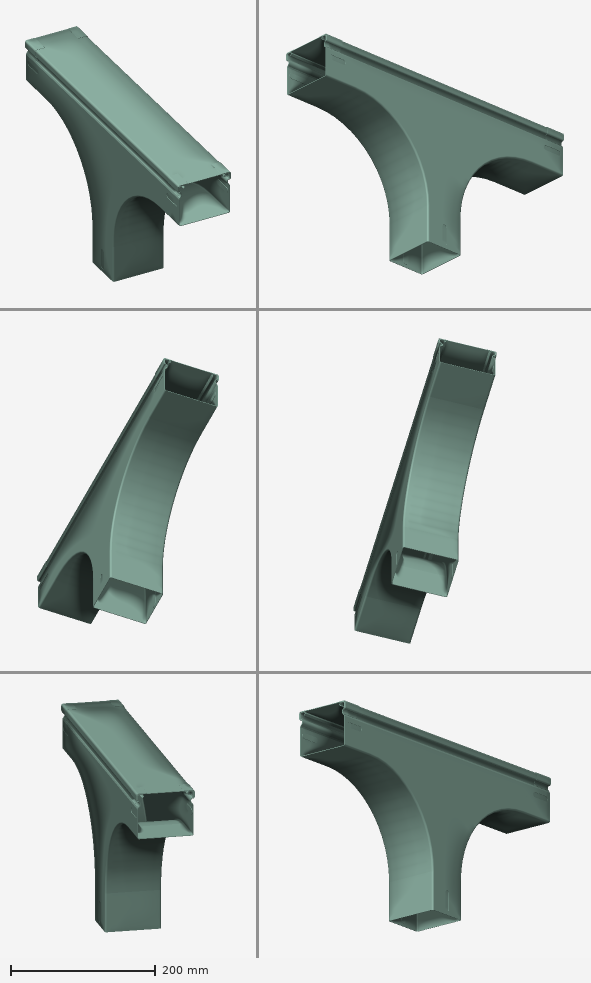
import cadquery as cq
import math


length = 446.5
height = 257.2
clip_outer_width = 83.5
cover_width = 82.0
body_width = 80.5
sheet = 0.8
clip_sheet = 0.5

clip_y = (clip_outer_width - clip_sheet) / 2
cover_y = (cover_width - sheet) / 2
body_y = (body_width - sheet) / 2
clip_z = -clip_sheet / 2
cover_z = clip_z - (clip_sheet + sheet) / 2
body_z = cover_z - sheet
bend_radius = 2.5

channel_bottom = -66.0
branch_width = 62.5
elbow_radius = 135.0
edge_radius = 2.5
rim_joint = -22.8

groove_top = -10.5
groove_bottom = -20.5
groove_edge_y = body_y - 1.0
groove_depth = 3.0
rim_bend_top = -8.5

flange_end_y = 33.0
lip_fold_y = 31.0
lip_fold_z = -4.5
lip_end_z = -6.5

slot_length = 31.5
slot_width = 7.5
slot_depth = 0.65
slot_end_gap = 20.5
slot_z = -33.5

curl_top = -10.0
curl_radius = 2.0
curl_angle = math.radians(60)
clip_length = 30.0
clip_inner_y = 26.5
clip_tail_cut = math.radians(12)

groove_half = (groove_top - groove_bottom) / 2
groove_radius = (groove_half**2 + groove_depth**2) / (2 * groove_depth)
groove_y = groove_edge_y - groove_depth + groove_radius
groove_z = (groove_top + groove_bottom) / 2
groove_angle = math.asin(groove_half / groove_radius)


def groove_point(radius, angle):
    """Point of an arc about the groove centre; angle 0 is the deepest point, positive is up."""
    return groove_y - radius * math.cos(angle), groove_z + radius * math.sin(angle)


def bend_middle(y, z):
    """Middle point of the quarter bend between a side at y and a top at z."""
    inset = bend_radius * (1 - math.sqrt(0.5))
    return y - inset, z - inset


def curl_point(radius, angle):
    """Point of the inward curl below the cover flange; angle 0 is its start on the flange."""
    return cover_y - curl_radius + radius * math.cos(angle), curl_top - radius * math.sin(angle)


def mirrored(point):
    return -point[0], point[1]


def extrude_sheet(path, thickness, x_start, x_length):
    """Thicken a middle line drawn in the YZ plane and extrude it along X."""
    return path.wire().offset2D(thickness / 2).extrude(x_length).translate((x_start, 0, 0))


def tee_block(inset):
    """Solid tee, its walls set in from the outer faces; it runs past the open ends when inset."""
    half_length = length / 2 + inset
    half_branch = branch_width / 2 - inset
    radius = elbow_radius + inset
    floor = channel_bottom + inset
    elbow_x = branch_width / 2 + elbow_radius
    elbow_z = channel_bottom - elbow_radius
    middle_x = elbow_x - radius * math.sqrt(0.5)
    middle_z = elbow_z + radius * math.sqrt(0.5)
    depth = body_width - 2 * inset
    block = (
        cq.Workplane("XZ", origin=(0, depth / 2, 0))
        .moveTo(-half_length, rim_joint + inset)
        .lineTo(half_length, rim_joint + inset)
        .lineTo(half_length, floor)
        .lineTo(elbow_x, floor)
        .threePointArc((middle_x, middle_z), (half_branch, elbow_z))
        .lineTo(half_branch, -height - inset)
        .lineTo(-half_branch, -height - inset)
        .lineTo(-half_branch, elbow_z)
        .threePointArc((-middle_x, middle_z), (-elbow_x, floor))
        .lineTo(-half_length, floor)
        .close()
        .extrude(depth)
    )
    return block.edges("%CIRCLE").fillet(edge_radius - inset)


def body_rim(side):
    """Profiled upper edge of one wall: lip, flange, bend and snap groove."""
    path = (
        cq.Workplane("YZ")
        .moveTo(flange_end_y, lip_end_z)
        .lineTo(lip_fold_y, lip_fold_z)
        .lineTo(flange_end_y, body_z)
        .lineTo(body_y - bend_radius, body_z)
        .threePointArc(bend_middle(body_y, body_z), (body_y, body_z - bend_radius))
        .lineTo(body_y, rim_bend_top)
        .lineTo(groove_edge_y, groove_top)
        .threePointArc(groove_point(groove_radius, 0), (groove_edge_y, groove_bottom))
        .lineTo(body_y, rim_joint)
        .lineTo(body_y, rim_joint - sheet)
    )
    rim = extrude_sheet(path, sheet, -length / 2, length)
    return rim if side > 0 else rim.mirror("XZ")


def slot_prisms(width_growth, y_centre, thickness):
    """Slot shapes at both channel ends and on the branch, extruded along Y."""
    size = slot_length + width_growth, slot_width + width_growth
    slot_x = length / 2 - slot_end_gap
    plane = cq.Workplane("XZ", origin=(0, y_centre + thickness / 2, 0))
    channel = plane.pushPoints([(-slot_x, slot_z), (slot_x, slot_z)]).slot2D(*size).extrude(thickness)
    branch = plane.center(0, slot_end_gap - height).slot2D(*size, angle=90).extrude(thickness)
    return channel.union(branch)


def make_tee_body():
    body = tee_block(0).cut(tee_block(sheet))
    for side in (-1, 1):
        body = body.union(body_rim(side))
        outer_y = side * (body_width - slot_depth) / 2
        inner_y = side * (body_width / 2 - (sheet + slot_depth) / 2)
        body = body.union(slot_prisms(sheet, inner_y, sheet + slot_depth))
        body = body.cut(slot_prisms(0, outer_y, slot_depth))
    return body


def make_cover():
    bend_y = cover_y - bend_radius
    bend_z = cover_z - bend_radius
    curl_end = curl_point(curl_radius, curl_angle)
    curl_middle = curl_point(curl_radius, curl_angle / 2)
    path = (
        cq.Workplane("YZ")
        .moveTo(*mirrored(curl_end))
        .threePointArc(mirrored(curl_middle), (-cover_y, curl_top))
        .lineTo(-cover_y, bend_z)
        .threePointArc(mirrored(bend_middle(cover_y, cover_z)), (-bend_y, cover_z))
        .lineTo(bend_y, cover_z)
        .threePointArc(bend_middle(cover_y, cover_z), (cover_y, bend_z))
        .lineTo(cover_y, curl_top)
        .threePointArc(curl_middle, curl_end)
    )
    return extrude_sheet(path, sheet, -length / 2, length)


def make_clip(end, side):
    """Clip hooked over one corner of the cover and into the snap groove."""
    layer_gap = (sheet + clip_sheet) / 2
    outer_curl = curl_radius + clip_y - cover_y
    arc_radius = groove_radius - layer_gap
    tail_angle = groove_angle - clip_tail_cut
    path = (
        cq.Workplane("YZ")
        .moveTo(clip_inner_y, clip_z)
        .lineTo(clip_y - bend_radius, clip_z)
        .threePointArc(bend_middle(clip_y, clip_z), (clip_y, clip_z - bend_radius))
        .lineTo(clip_y, curl_top)
        .threePointArc(curl_point(outer_curl, curl_angle / 2), curl_point(outer_curl, curl_angle))
        .lineTo(*groove_point(arc_radius, tail_angle))
        .threePointArc(groove_point(arc_radius, 0), groove_point(arc_radius, -tail_angle))
    )
    clip = extrude_sheet(path, clip_sheet, length / 2 - clip_length, clip_length)
    if end < 0:
        clip = clip.mirror("YZ")
    if side < 0:
        clip = clip.mirror("XZ")
    return clip


tee_body = make_tee_body().solids()
cover = make_cover()
clips = [make_clip(end, side) for end in (-1, 1) for side in (-1, 1)]

result = cq.Compound.makeCompound([tee_body.val(), cover.val(), *[clip.val() for clip in clips]])